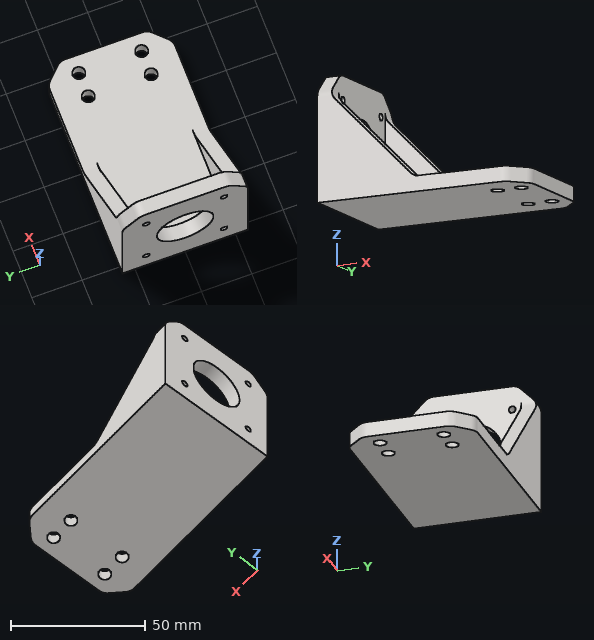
import cadquery as cq
import math

length = 86.0
width = 50.0
height = 50.0
thickness = 6.0

corner_clip = 7.5
blend_radius = 5.0

corner_tangent_length = blend_radius * math.tan(math.radians(45 / 2))
slope_top = height - corner_clip - corner_tangent_length

motor_bore_diameter = 22.5
motor_hole_diameter = 2.65
motor_hole_spacing = 31.0
motor_axis_z = height / 2

base_hole_diameter = 4.85
base_hole_pitch_x = 10.0
base_hole_pitch_y = 25.0
base_hole_end_distance = 7.0


def clipped_plate(plane, reach, depth):
    """Plate from 0 to `reach`, with the two corners at its free end clipped and rounded."""
    half_width = width / 2
    outline = [
        (0, -half_width),
        (reach - corner_clip, -half_width),
        (reach, -half_width + corner_clip),
        (reach, half_width - corner_clip),
        (reach - corner_clip, half_width),
        (0, half_width),
    ]
    plate = cq.Workplane(plane).polyline(outline).close().extrude(depth)
    clipped_points = outline[1:-1]
    for along, across in clipped_points:
        corner = plane.toWorldCoords((along, across, depth / 2))
        corner_edge = cq.selectors.NearestToPointSelector(corner.toTuple())
        plate = plate.edges(corner_edge).fillet(blend_radius)
    return plate


def side_profile():
    """L-shaped side profile with the sloped gusset edge, across the full width."""
    profile = (
        cq.Workplane("XZ")
        .polyline(
            [
                (0, 0),
                (length, 0),
                (length, thickness),
                (slope_top, thickness),
                (thickness, slope_top),
                (thickness, height),
                (0, height),
            ]
        )
        .close()
        .extrude(width / 2, both=True)
    )
    for x, z in [(slope_top, thickness), (thickness, slope_top)]:
        slope_end = cq.selectors.NearestToPointSelector((x, 0, z))
        profile = profile.edges(slope_end).fillet(blend_radius)
    return profile


def inner_pocket():
    """Space between the gussets, in front of the wall and above the base."""
    pocket_width = width - 2 * thickness
    pocket_base = cq.Workplane("XY", origin=(thickness, 0, thickness))
    return pocket_base.box(length, pocket_width, height, centered=(False, True, False))


def motor_holes():
    """Central bore and four screw holes through the wall, along X."""
    face = cq.Workplane("YZ", origin=(0, 0, motor_axis_z))
    bore = face.circle(motor_bore_diameter / 2).extrude(thickness)
    screws = (
        face.rect(motor_hole_spacing, motor_hole_spacing, forConstruction=True)
        .vertices()
        .circle(motor_hole_diameter / 2)
        .extrude(thickness)
    )
    return bore.union(screws)


def base_holes():
    """Four screw holes through the base, along Z."""
    center_x = length - base_hole_end_distance - base_hole_pitch_x / 2
    return (
        cq.Workplane("XY", origin=(center_x, 0, 0))
        .rect(base_hole_pitch_x, base_hole_pitch_y, forConstruction=True)
        .vertices()
        .circle(base_hole_diameter / 2)
        .extrude(thickness)
    )


base_outline = clipped_plate(cq.Plane((0, 0, 0), (1, 0, 0), (0, 0, 1)), length, height)
wall_outline = clipped_plate(cq.Plane((0, 0, 0), (0, 0, 1), (1, 0, 0)), height, length)

bracket = side_profile().intersect(base_outline).intersect(wall_outline)
result = bracket.cut(inner_pocket()).cut(motor_holes()).cut(base_holes())